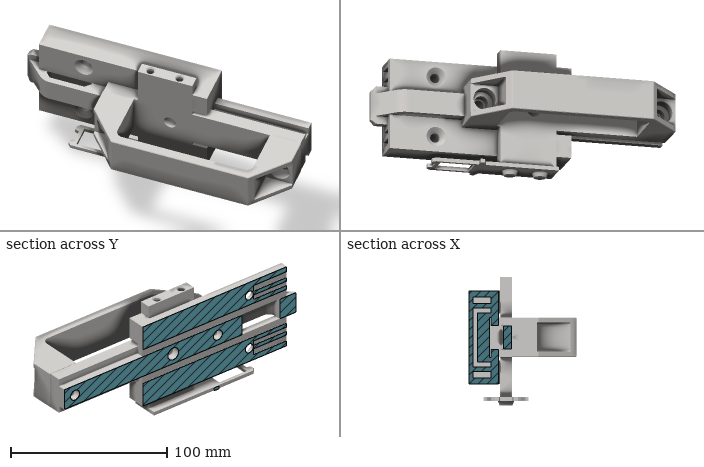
import cadquery as cq


BLOCK_START = 10.6
BLOCK_END = 128.7
BLOCK_HALF_HEIGHT = 30.0
BLOCK_DEPTH = 19.1
STOP_START = 118.8
STOP_DEPTH = 27.5
STOP_SLOT_HALF = 15.0
STOP_CORNER_RADIUS = 1.2
SIDE_POCKET_IN = 21.8
SIDE_POCKET_OUT = 25.9
POCKET_BACK = 2.7
POCKET_FRONT = 14.1
POCKET_LENGTH = 27.0
LINER_BACK = 5.2
CHANNEL_HALF_OUT = 18.7
CHANNEL_HALF_IN = 15.8
MOUNT_X = 41.4
MOUNT_Z = 20.0
MOUNT_RADIUS = 3.0
MOUNT_HEAD_RADIUS = 6.4

RAIL_START = 58.2
BAR_END = 192.9
BAR_HALF = 12.5
STEM_HALF = 7.5
BAR_BACK = 8.0
FLANGE_FRONT = 13.3
BAR_FRONT = 27.8
TIP_SLANT_DEPTH = 11.2
TIP_CHAMFER = 3.0
NOSE_RADIUS = 10.5
NOTCH_START = 16.5
NOTCH_END = 47.0
NOTCH_FRONT = 23.8
NOTCH_CHAMFER = 3.5

PLATE_START = 81.5
PLATE_HALF_HEIGHT = 38.5
PLATE_BACK = 20.1
PLATE_MIDDLE_Y = -(PLATE_BACK + BAR_FRONT) / 2
PLATE_ROOT_RADIUS = 0.8
PLATE_HOLE_X = 103.5
PLATE_HOLE_RADIUS = 4.3
SCREW_XS = (88.9, 108.8)
TAP_RADIUS = 2.3
TAP_MOUTH_RADIUS = 3.0
TAP_DEPTH = 9.7

HANDLE_START = 57.8
HANDLE_END = 193.2
HANDLE_FRONT = 69.0
HANDLE_HALF = 12.8
LEG_WIDTH = 21.3
GRIP_THICKNESS = 6.4
SLANT_START_DEPTH = 44.8
SLANT_RUN = 20.9
GRIP_CORNER_RADIUS = 1.5
INNER_RADIUS = 4.6
EDGE_CHAMFER = 0.4
RECESS_DEPTH = 43.7
RECESS_WIDTH = 18.2
RECESS_HALF = 9.3
RECESS_CORNER_RADIUS = 1.2
RECESS_FRONT_DEPTH = 65.3
HANDLE_BOLT_OFFSET = 9.3
HEAD_RADIUS = 7.3
HEAD_SEAT_DEPTH = 34.8
SHANK_RADIUS = 4.5
THREAD_RADIUS = 3.5

KEY_START = 35.5
KEY_THICKNESS = 2.5
KEY_HALF = 9.7
KEY_CORNER = 2.1
PRONG_LENGTH = 2.9
PRONG_GAP_HALF = 4.6
PRONG_ROOT_HALF = 3.9
WINDOW_START = 41.0
WINDOW_END = 63.5
WINDOW_HALF = 7.3
WING_START = 65.9
WING_TIP_WIDTH = 2.7
WING_ROOT_WIDTH = 4.6
WING_HALF = 14.5
SCREW_HEAD_HEIGHT = 2.9
SCREW_HEAD_RADIUS = 5.2
SCREW_FACE_RADIUS = 4.0


def box(x_start, x_end, back, front, z_low, z_high):
    """Box whose back and front are depths measured from the back face."""
    size = (x_end - x_start, front - back, z_high - z_low)
    return cq.Workplane("XY").box(*size, centered=False).translate((x_start, -front, z_low))


def prism(points, half_height):
    """Extrude an outline of (x, depth) points symmetrically about z = 0."""
    outline = [(x, -depth) for x, depth in points]
    return cq.Workplane("XY").polyline(outline).close().extrude(half_height, both=True)


def cylinder_y(x, z, radius, back, front):
    """Cylinder along Y between two depths."""
    axis = cq.Vector(0, 1, 0)
    return cq.Workplane(cq.Solid.makeCylinder(radius, front - back, cq.Vector(x, -front, z), axis))


def round_z(x, y, z, height, bottom_radius, top_radius):
    """Cylinder or cone rising along Z from the given centre."""
    base = cq.Vector(x, y, z)
    axis = cq.Vector(0, 0, 1)
    if bottom_radius == top_radius:
        return cq.Workplane(cq.Solid.makeCylinder(bottom_radius, height, base, axis))
    return cq.Workplane(cq.Solid.makeCone(bottom_radius, top_radius, height, base, axis))


def make_block():
    block = box(BLOCK_START, BLOCK_END, 0, BLOCK_DEPTH, -BLOCK_HALF_HEIGHT, BLOCK_HALF_HEIGHT)
    stop = box(STOP_START, BLOCK_END, 0, STOP_DEPTH, -BLOCK_HALF_HEIGHT, BLOCK_HALF_HEIGHT)
    block = block.union(stop)
    inner_corner = cq.selectors.NearestToPointSelector((STOP_START, -BLOCK_DEPTH, 0))
    block = block.edges("|Z").edges(inner_corner).fillet(STOP_CORNER_RADIUS)
    stop_slot = box(
        STOP_START - STOP_CORNER_RADIUS, BLOCK_END, BLOCK_DEPTH, STOP_DEPTH, -STOP_SLOT_HALF, STOP_SLOT_HALF
    )
    block = block.cut(stop_slot)

    block = block.cut(box(BLOCK_START, BLOCK_END, BAR_BACK, POCKET_FRONT, -BAR_HALF, BAR_HALF))
    block = block.cut(box(BLOCK_START, BLOCK_END, BAR_BACK, BLOCK_DEPTH, -STEM_HALF, STEM_HALF))

    pocket_end = BLOCK_START + POCKET_LENGTH
    channel = box(BLOCK_START, pocket_end, POCKET_BACK, POCKET_FRONT, -CHANNEL_HALF_OUT, CHANNEL_HALF_OUT)
    liner = box(BLOCK_START, pocket_end, LINER_BACK, POCKET_FRONT, -CHANNEL_HALF_IN, CHANNEL_HALF_IN)
    block = block.cut(channel.cut(liner))
    for low in (SIDE_POCKET_IN, -SIDE_POCKET_OUT):
        high = low + SIDE_POCKET_OUT - SIDE_POCKET_IN
        block = block.cut(box(BLOCK_START, pocket_end, POCKET_BACK, POCKET_FRONT, low, high))

    sink_depth = MOUNT_HEAD_RADIUS - MOUNT_RADIUS
    for z in (MOUNT_Z, -MOUNT_Z):
        block = block.cut(cylinder_y(MOUNT_X, z, MOUNT_RADIUS, 0, BLOCK_DEPTH))
        mouth = cq.Vector(MOUNT_X, -BLOCK_DEPTH, z)
        sink = cq.Solid.makeCone(MOUNT_HEAD_RADIUS, MOUNT_RADIUS, sink_depth, mouth, cq.Vector(0, 1, 0))
        block = block.cut(cq.Workplane(sink))
    return block


def make_bar():
    flange = box(0, BAR_END, BAR_BACK, FLANGE_FRONT, -BAR_HALF, BAR_HALF)
    flange = flange.edges("|Y and <X").chamfer(TIP_CHAMFER)
    stem = box(0, BAR_END, BAR_BACK, BAR_FRONT, -STEM_HALF, STEM_HALF)
    rail = box(RAIL_START, BAR_END, BLOCK_DEPTH, BAR_FRONT, -BAR_HALF, BAR_HALF)

    nose_x = BAR_FRONT - TIP_SLANT_DEPTH
    tip = prism(
        [(0, 0), (BAR_END, 0), (BAR_END, BAR_FRONT), (nose_x, BAR_FRONT), (0, TIP_SLANT_DEPTH)], BAR_HALF
    )
    nose_edge = cq.selectors.NearestToPointSelector((nose_x, -BAR_FRONT, 0))
    tip = tip.edges("|Z").edges(nose_edge).fillet(NOSE_RADIUS)

    slant_start = NOTCH_FRONT - NOTCH_CHAMFER
    notch = prism(
        [
            (NOTCH_START, FLANGE_FRONT),
            (NOTCH_END, FLANGE_FRONT),
            (NOTCH_END, slant_start),
            (NOTCH_END - NOTCH_CHAMFER, NOTCH_FRONT),
            (NOTCH_START + NOTCH_CHAMFER, NOTCH_FRONT),
            (NOTCH_START, slant_start),
        ],
        STEM_HALF,
    )
    return flange.union(stem).union(rail).intersect(tip).cut(notch)


def make_plate():
    plate = box(PLATE_START, STOP_START, PLATE_BACK, BAR_FRONT, -PLATE_HALF_HEIGHT, PLATE_HALF_HEIGHT)
    mouth_depth = TAP_MOUTH_RADIUS - TAP_RADIUS
    for x in SCREW_XS:
        tap_bottom = PLATE_HALF_HEIGHT - TAP_DEPTH
        mouth_bottom = PLATE_HALF_HEIGHT - mouth_depth
        plate = plate.cut(round_z(x, PLATE_MIDDLE_Y, tap_bottom, TAP_DEPTH, TAP_RADIUS, TAP_RADIUS))
        plate = plate.cut(
            round_z(x, PLATE_MIDDLE_Y, mouth_bottom, mouth_depth, TAP_RADIUS, TAP_MOUTH_RADIUS)
        )
    return plate


def make_handle():
    handle = prism(
        [
            (HANDLE_START, BAR_FRONT),
            (HANDLE_END, BAR_FRONT),
            (HANDLE_END, SLANT_START_DEPTH),
            (HANDLE_END - SLANT_RUN, HANDLE_FRONT),
            (HANDLE_START + SLANT_RUN, HANDLE_FRONT),
            (HANDLE_START, SLANT_START_DEPTH),
        ],
        HANDLE_HALF,
    )
    handle = handle.edges("|Z and <Y").fillet(GRIP_CORNER_RADIUS)
    handle = handle.faces("|Z").edges("not >Y").chamfer(EDGE_CHAMFER)
    opening = box(
        HANDLE_START + LEG_WIDTH, HANDLE_END - LEG_WIDTH, BAR_FRONT, HANDLE_FRONT - GRIP_THICKNESS,
        -HANDLE_HALF, HANDLE_HALF,
    )
    handle = handle.cut(opening.edges("|Z and <Y").fillet(INNER_RADIUS))

    for x_start, inner_wall in ((HANDLE_START, ">X"), (HANDLE_END - RECESS_WIDTH, "<X")):
        x_end = x_start + RECESS_WIDTH
        recess = box(x_start, x_end, RECESS_DEPTH, RECESS_FRONT_DEPTH, -RECESS_HALF, RECESS_HALF)
        handle = handle.cut(recess.edges("|Y and " + inner_wall).fillet(RECESS_CORNER_RADIUS))
    return handle


def make_key():
    top = -PLATE_HALF_HEIGHT
    bottom = top - KEY_THICKNESS
    prong_root = KEY_START + PRONG_LENGTH
    half_outline = [
        (prong_root, PRONG_ROOT_HALF),
        (KEY_START, PRONG_GAP_HALF),
        (KEY_START, KEY_HALF - KEY_CORNER),
        (KEY_START + KEY_CORNER, KEY_HALF),
        (WING_START, KEY_HALF),
        (WING_START, WING_HALF),
        (WING_START + WING_TIP_WIDTH, WING_HALF),
        (WING_START + WING_ROOT_WIDTH, KEY_HALF),
        (STOP_START, KEY_HALF),
    ]
    mirrored = [(x, -y) for x, y in reversed(half_outline)]
    key = cq.Workplane("XY").polyline(half_outline + mirrored).close().extrude(KEY_THICKNESS)
    key = key.translate((0, PLATE_MIDDLE_Y, bottom))

    middle_depth = -PLATE_MIDDLE_Y
    window = box(
        WINDOW_START, WINDOW_END, middle_depth - WINDOW_HALF, middle_depth + WINDOW_HALF, bottom, top
    )
    key = key.cut(window)

    head_bottom = bottom - SCREW_HEAD_HEIGHT
    for x in SCREW_XS:
        head = round_z(
            x, PLATE_MIDDLE_Y, head_bottom, SCREW_HEAD_HEIGHT, SCREW_FACE_RADIUS, SCREW_HEAD_RADIUS
        )
        key = key.union(head)
    return key


def make_bar_with_plate():
    """Bolt bar with the cross plate on it, rounded where the plate rises from the rail."""
    joined = make_bar().union(make_plate())
    for z in (-BAR_HALF, BAR_HALF):
        root = cq.selectors.NearestToPointSelector((PLATE_START, PLATE_MIDDLE_Y, z))
        joined = joined.edges("|Y").edges(root).fillet(PLATE_ROOT_RADIUS)
    return joined


def make_moving_parts():
    """Bar, cross plate, handle and key, with the bolt holes that join them."""
    parts = make_bar_with_plate().union(make_handle()).union(make_key())
    for x in (HANDLE_START + HANDLE_BOLT_OFFSET, HANDLE_END - HANDLE_BOLT_OFFSET):
        parts = parts.cut(cylinder_y(x, 0, HEAD_RADIUS, HEAD_SEAT_DEPTH, RECESS_DEPTH))
        parts = parts.cut(cylinder_y(x, 0, SHANK_RADIUS, BAR_FRONT, HEAD_SEAT_DEPTH))
        parts = parts.cut(cylinder_y(x, 0, THREAD_RADIUS, BAR_BACK, BAR_FRONT))
    return parts.cut(cylinder_y(PLATE_HOLE_X, 0, PLATE_HOLE_RADIUS, BAR_BACK, BAR_FRONT))


result = make_block().union(make_moving_parts())